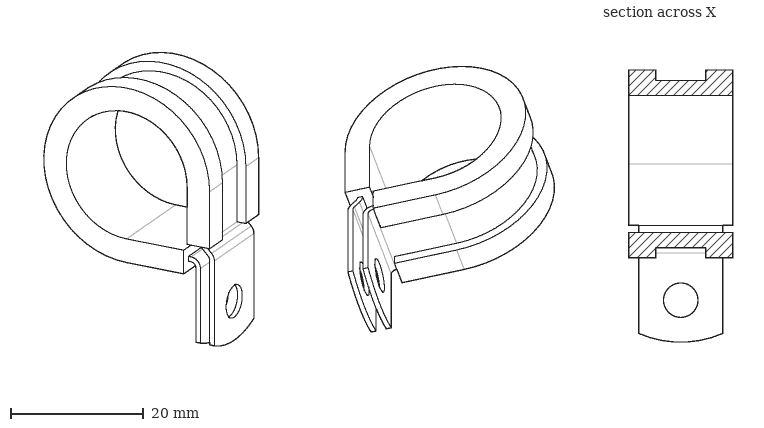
import cadquery as cq
import math

CUSHION_WIDTH = 15.75
CUSHION_OUTER_RADIUS = 14.18
BORE_RADIUS = 10.32
LOWER_LEG_END_X = 9.76
UPPER_LEG_END_Z = -9.26
GROOVE_WIDTH = 7.5

STRAP_WIDTH = 12.7
STRAP_THICKNESS = 0.8
STRAP_OUTER_RADIUS = 12.66
STRAP_INNER_RADIUS = STRAP_OUTER_RADIUS - STRAP_THICKNESS
BEND_INNER_RADIUS = STRAP_THICKNESS
BEND_OUTER_RADIUS = BEND_INNER_RADIUS + STRAP_THICKNESS
JOG_ANGLE = 45

TAB_BOTTOM_Z = -26.91
LOWER_TAB_OUTER_X = 11.8
UPPER_TAB_OUTER_X = CUSHION_OUTER_RADIUS
TAB_END_RADIUS = 15.875
HOLE_DIAMETER = 5.16
HOLE_ABOVE_BOTTOM = 6.35


def polar(center, radius, angle):
    """Point on a circle in the XZ plane, with the angle in degrees from +X toward +Z."""
    radians = math.radians(angle)
    return (center[0] + radius * math.cos(radians), center[1] + radius * math.sin(radians))


def extrude_centered(profile, width):
    """Extrude a closed XZ profile evenly to both sides of the XZ plane."""
    return profile.extrude(width / 2, both=True)


def loop_band(inner_radius, outer_radius, width):
    """Three-quarter ring with a straight leg along +X below and one along -Z at the right."""
    center = (0, 0)
    mid_angle = 135
    profile = (
        cq.Workplane("XZ")
        .moveTo(LOWER_LEG_END_X, -outer_radius)
        .lineTo(0, -outer_radius)
        .threePointArc(polar(center, outer_radius, mid_angle), (outer_radius, 0))
        .lineTo(outer_radius, UPPER_LEG_END_Z)
        .lineTo(inner_radius, UPPER_LEG_END_Z)
        .lineTo(inner_radius, 0)
        .threePointArc(polar(center, inner_radius, mid_angle), (0, -inner_radius))
        .lineTo(LOWER_LEG_END_X, -inner_radius)
        .close()
    )
    return extrude_centered(profile, width)


def lower_tab():
    """Strap leaving the lower leg along +X and bending straight down."""
    inner_x = LOWER_TAB_OUTER_X - STRAP_THICKNESS
    bend = (LOWER_TAB_OUTER_X - BEND_OUTER_RADIUS, -STRAP_INNER_RADIUS - BEND_OUTER_RADIUS)
    profile = (
        cq.Workplane("XZ")
        .moveTo(LOWER_LEG_END_X, -STRAP_INNER_RADIUS)
        .lineTo(*polar(bend, BEND_OUTER_RADIUS, 90))
        .threePointArc(polar(bend, BEND_OUTER_RADIUS, 45), polar(bend, BEND_OUTER_RADIUS, 0))
        .lineTo(LOWER_TAB_OUTER_X, TAB_BOTTOM_Z)
        .lineTo(inner_x, TAB_BOTTOM_Z)
        .lineTo(*polar(bend, BEND_INNER_RADIUS, 0))
        .threePointArc(polar(bend, BEND_INNER_RADIUS, 45), polar(bend, BEND_INNER_RADIUS, 90))
        .lineTo(LOWER_LEG_END_X, -STRAP_OUTER_RADIUS)
        .close()
    )
    return extrude_centered(profile, STRAP_WIDTH)


def upper_tab():
    """Strap leaving the upper leg downward and jogging outward, flush with the cushion."""
    inner_x = UPPER_TAB_OUTER_X - STRAP_THICKNESS
    first_end = 180 + JOG_ANGLE
    first_mid = 180 + JOG_ANGLE / 2
    second_mid = JOG_ANGLE / 2

    first = (STRAP_OUTER_RADIUS + BEND_INNER_RADIUS, UPPER_LEG_END_Z)
    second_x = UPPER_TAB_OUTER_X - BEND_OUTER_RADIUS
    slant_start = polar(first, BEND_INNER_RADIUS, first_end)
    slant_end_offset = polar((0, 0), BEND_OUTER_RADIUS, JOG_ANGLE)
    slant_run = second_x + slant_end_offset[0] - slant_start[0]
    slant_drop = slant_run / math.tan(math.radians(JOG_ANGLE))
    second = (second_x, slant_start[1] - slant_drop - slant_end_offset[1])

    profile = (
        cq.Workplane("XZ")
        .moveTo(STRAP_OUTER_RADIUS, UPPER_LEG_END_Z)
        .threePointArc(polar(first, BEND_INNER_RADIUS, first_mid), slant_start)
        .lineTo(*polar(second, BEND_OUTER_RADIUS, JOG_ANGLE))
        .threePointArc(polar(second, BEND_OUTER_RADIUS, second_mid), polar(second, BEND_OUTER_RADIUS, 0))
        .lineTo(UPPER_TAB_OUTER_X, TAB_BOTTOM_Z)
        .lineTo(inner_x, TAB_BOTTOM_Z)
        .lineTo(*polar(second, BEND_INNER_RADIUS, 0))
        .threePointArc(
            polar(second, BEND_INNER_RADIUS, second_mid), polar(second, BEND_INNER_RADIUS, JOG_ANGLE)
        )
        .lineTo(*polar(first, BEND_OUTER_RADIUS, first_end))
        .threePointArc(polar(first, BEND_OUTER_RADIUS, first_mid), (STRAP_INNER_RADIUS, UPPER_LEG_END_Z))
        .close()
    )
    return extrude_centered(profile, STRAP_WIDTH)


def tab_trim():
    """Block along X with the rounded tab end and the screw hole, shared by both tabs."""
    half_width = STRAP_WIDTH / 2
    end_rise = TAB_END_RADIUS - math.sqrt(TAB_END_RADIUS**2 - half_width**2)
    corner_z = TAB_BOTTOM_Z + end_rise
    outline = (
        cq.Workplane("YZ")
        .moveTo(-half_width, 0)
        .lineTo(-half_width, corner_z)
        .threePointArc((0, TAB_BOTTOM_Z), (half_width, corner_z))
        .lineTo(half_width, 0)
        .close()
        .extrude(CUSHION_OUTER_RADIUS)
    )
    hole = (
        cq.Workplane("YZ")
        .center(0, TAB_BOTTOM_Z + HOLE_ABOVE_BOTTOM)
        .circle(HOLE_DIAMETER / 2)
        .extrude(CUSHION_OUTER_RADIUS)
    )
    return outline.cut(hole)


cushion = loop_band(BORE_RADIUS, CUSHION_OUTER_RADIUS, CUSHION_WIDTH)
groove = loop_band(STRAP_OUTER_RADIUS, CUSHION_OUTER_RADIUS, GROOVE_WIDTH)
tabs = lower_tab().union(upper_tab()).intersect(tab_trim())

result = cushion.cut(groove).union(tabs)